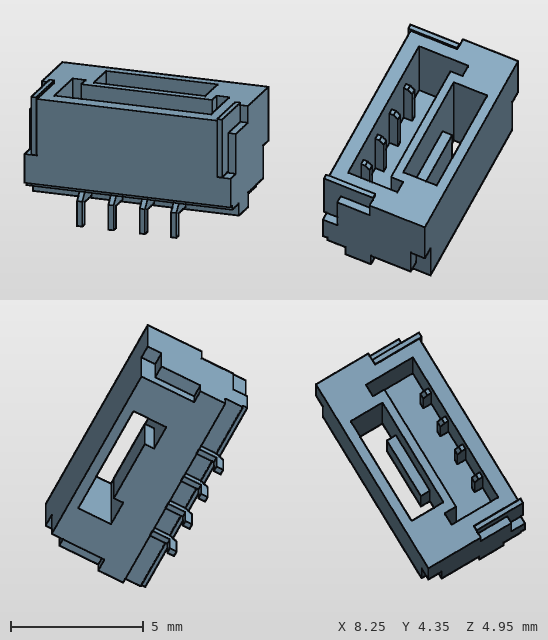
import cadquery as cq


width = 8.25
depth = 4.25
height = 4.05

undercut_depth = 0.94
undercut_height = 0.49
lip_height = 0.64

end_wall = 0.99
front_wall = 0.585
floor_height = 1.0
cavity_width = width - 2 * end_wall
cavity_depth = 1.55
key_width = 0.51
key_depth = 0.5

window_width = 4.46
window_depth = 1.395
back_wall = 0.4
catch_width = 2.49
catch_depth = 0.4
catch_height = 2.02
window_front = depth - back_wall - window_depth

tab_thickness = 0.2
tab_height = 2.31
tab_rise = 0.1
front_overhang = 0.1
tab_recess = 0.5
tab_reach = 1.95
tab_upper_leg = 0.67
tab_front_leg = 0.6
tab_pocket_floor = 1.79

corner_recess = tab_recess
corner_reach = 2.24
corner_height = 1.9
corner_leg = 0.585

pin_count = 4
pin_pitch = 1.25
pin_width = 0.215
pin_drop = 0.8
leg_thickness = 0.29
beam_thickness = 0.4
contact_top = 3.04
tip_chamfer = 0.18
leg_back = leg_thickness - front_overhang


def prism(points, x_start, thickness):
    """Extrude a closed (y, z) outline along +X from x_start."""
    plane = cq.Workplane("YZ", origin=(x_start, 0, 0))
    return plane.polyline(points).close().extrude(thickness)


def block(x_size, y_start, y_size, z_start, z_size):
    """Box centred on X = 0 that starts at the given Y and Z."""
    box = cq.Workplane("XY").box(x_size, y_size, z_size, centered=(True, False, False))
    return box.translate((0, y_start, z_start))


def both_ends(solid):
    """The solid together with its mirror image at the other end of the housing."""
    return solid.union(solid.mirror("YZ"))


def tab_outline(front, bottom, top):
    """Inverted L: one leg along the top edge and one down the front edge."""
    return [
        (front, bottom),
        (tab_front_leg, bottom),
        (tab_front_leg, height - tab_upper_leg),
        (tab_reach, height - tab_upper_leg),
        (tab_reach, top),
        (front, top),
    ]


def make_shell():
    profile = [
        (0, lip_height),
        (leg_back, lip_height),
        (leg_back, undercut_height),
        (undercut_depth, undercut_height),
        (undercut_depth, 0),
        (depth, 0),
        (depth, height),
        (0, height),
    ]
    return prism(profile, -width / 2, width)


def make_cavity():
    cavity_height = height - floor_height
    cavity = block(cavity_width, front_wall, cavity_depth, floor_height, cavity_height)
    key = block(key_width, front_wall, cavity_depth + key_depth, floor_height, cavity_height)
    return cavity.union(both_ends(key.translate(((key_width - cavity_width) / 2, 0, 0))))


def make_window():
    window = block(window_width, window_front, window_depth, 0, height)
    catch = block(catch_width, window_front, catch_depth, 0, catch_height)
    return window.cut(catch)


def make_tab_pockets():
    outline = tab_outline(0, tab_pocket_floor, height)
    return both_ends(prism(outline, -width / 2, tab_recess))


def make_corner_recesses():
    outline = [
        (depth, 0),
        (depth, corner_height),
        (depth - corner_leg, corner_height),
        (depth - corner_leg, corner_leg),
        (depth - corner_reach, corner_leg),
        (depth - corner_reach, 0),
    ]
    return both_ends(prism(outline, -width / 2, corner_recess))


def make_tabs():
    tab_top = height + tab_rise
    outline = tab_outline(-front_overhang, tab_top - tab_height, tab_top)
    return both_ends(prism(outline, tab_recess - tab_thickness - width / 2, tab_thickness))


def make_pin(x_center):
    """Contact standing in the cavity, beam under the housing and leg bent down."""
    beam_bottom = undercut_height - beam_thickness
    outline = [
        (-front_overhang, -pin_drop),
        (leg_back, -pin_drop),
        (leg_back, beam_bottom),
        (undercut_depth, beam_bottom),
        (undercut_depth, contact_top - tip_chamfer),
        (undercut_depth - tip_chamfer, contact_top),
        (front_wall, contact_top),
        (front_wall, undercut_height),
        (leg_back, undercut_height),
        (-front_overhang, undercut_height - leg_thickness),
    ]
    return prism(outline, x_center - pin_width / 2, pin_width)


result = make_shell()
result = result.cut(make_cavity())
result = result.cut(make_window())
result = result.cut(make_tab_pockets())
result = result.cut(make_corner_recesses())
result = result.union(make_tabs())
for index in range(pin_count):
    result = result.union(make_pin((index - (pin_count - 1) / 2) * pin_pitch))